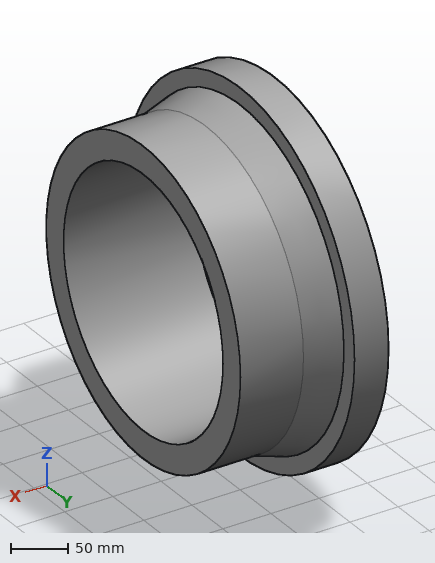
import cadquery as cq

flange_diameter = 370.0
hub_diameter = 335.5
pipe_diameter = 314.5
bore_diameter = 258.0

total_length = 136.0
flange_thickness = 35.5
taper_length = 35.5
taper_end = flange_thickness + taper_length

half_section = [
    (0, bore_diameter / 2),
    (0, flange_diameter / 2),
    (flange_thickness, flange_diameter / 2),
    (flange_thickness, hub_diameter / 2),
    (taper_end, pipe_diameter / 2),
    (total_length, pipe_diameter / 2),
    (total_length, bore_diameter / 2),
]

result = cq.Workplane("XY").polyline(half_section).close().revolve(360, (0, 0, 0), (1, 0, 0))